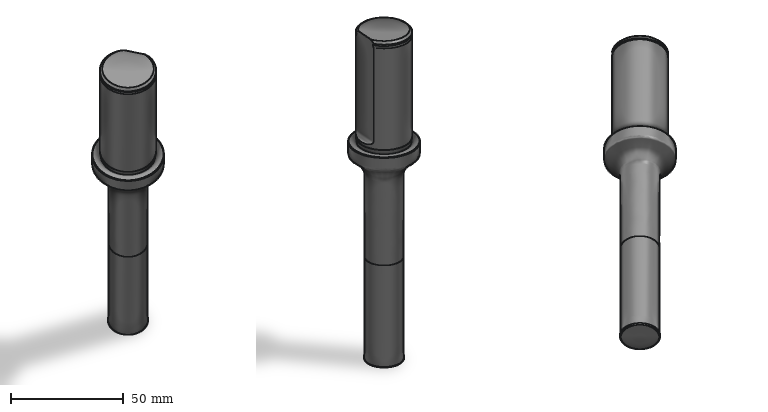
import cadquery as cq
import math

TOTAL_LENGTH = 165.0
TIP_RIM_Z = 1.0
TIP_FLARE_Z = 5.6
BODY_JOINT_Z = 51.5
NECK_TAPER_Z = 88.5
NECK_TOP_Z = 93.4
COLLAR_BOTTOM_Z = 103.8
COLLAR_TOP_Z = 109.2
SHANK_BOTTOM_Z = 111.2

TIP_DIAMETER = 18.0
STEM_DIAMETER = 17.3
NECK_DIAMETER = 17.7
COLLAR_DIAMETER = 32.0
SHANK_DIAMETER = 25.0
GROOVE_DIAMETER = 24.5

TIP_FLAT_RADIUS = 3.3
TIP_FACE_CONE_RISE = 0.3
TIP_RIM_CHAMFER_WIDTH = 0.5
COLLAR_CHAMFER = 0.3
UNDERCUT_DIAMETER = 26.5
UNDERCUT_DEPTH = 0.3
TOP_CHAMFER_WIDTH = 1.2
TOP_CHAMFER_HEIGHT = 1.2
GROOVE_HALF_WIDTH = 1.0

TRANSITION_POINTS = [(9.7, 96.4), (11.9, 99.3), (15.2, 102.1)]

FLAT_Y = 10.4
FLAT_BOTTOM_Z = 112.5
FLAT_RUNOUT_RADIUS = 2.5

tip_radius = TIP_DIAMETER / 2
stem_radius = STEM_DIAMETER / 2
neck_radius = NECK_DIAMETER / 2
collar_radius = COLLAR_DIAMETER / 2
shank_radius = SHANK_DIAMETER / 2
groove_radius = GROOVE_DIAMETER / 2
undercut_radius = UNDERCUT_DIAMETER / 2


def make_tip():
    """Straight lower stem that flares to a rim and ends in a very shallow cone with a flat middle."""
    flare_height = TIP_FLARE_Z - TIP_RIM_Z
    flare_width = tip_radius - stem_radius
    flare_radius = (flare_height**2 + flare_width**2) / (2 * flare_width)
    half_angle = math.asin(flare_height / flare_radius) / 2
    flare_middle = (
        stem_radius + flare_radius * (1 - math.cos(half_angle)),
        TIP_FLARE_Z - flare_radius * math.sin(half_angle),
    )
    return (
        cq.Workplane("XZ")
        .moveTo(0, 0)
        .lineTo(TIP_FLAT_RADIUS, 0)
        .lineTo(tip_radius - TIP_RIM_CHAMFER_WIDTH, TIP_FACE_CONE_RISE)
        .lineTo(tip_radius, TIP_RIM_Z)
        .threePointArc(flare_middle, (stem_radius, TIP_FLARE_Z))
        .lineTo(stem_radius, BODY_JOINT_Z)
        .lineTo(0, BODY_JOINT_Z)
        .close()
        .revolve(360, (0, 0, 0), (0, 1, 0))
    )


def make_holder_blank():
    """Turned neck, collar and shank, before the flat is cut."""
    top_edge_z = TOTAL_LENGTH - TOP_CHAMFER_HEIGHT
    step = shank_radius - groove_radius
    return (
        cq.Workplane("XZ")
        .moveTo(0, BODY_JOINT_Z)
        .lineTo(stem_radius, BODY_JOINT_Z)
        .lineTo(neck_radius, NECK_TAPER_Z)
        .lineTo(neck_radius, NECK_TOP_Z)
        .spline(
            [*TRANSITION_POINTS, (collar_radius, COLLAR_BOTTOM_Z)],
            tangents=[(0, 1), (0, 1)],
            includeCurrent=True,
        )
        .lineTo(collar_radius, COLLAR_TOP_Z - COLLAR_CHAMFER)
        .lineTo(collar_radius - COLLAR_CHAMFER, COLLAR_TOP_Z)
        .lineTo(undercut_radius, COLLAR_TOP_Z)
        .lineTo(groove_radius, COLLAR_TOP_Z - UNDERCUT_DEPTH)
        .lineTo(groove_radius, SHANK_BOTTOM_Z - step)
        .lineTo(shank_radius, SHANK_BOTTOM_Z)
        .lineTo(shank_radius, top_edge_z - 2 * GROOVE_HALF_WIDTH)
        .lineTo(groove_radius, top_edge_z - GROOVE_HALF_WIDTH)
        .lineTo(shank_radius, top_edge_z)
        .lineTo(shank_radius - TOP_CHAMFER_WIDTH, TOTAL_LENGTH)
        .lineTo(0, TOTAL_LENGTH)
        .close()
        .revolve(360, (0, 0, 0), (0, 1, 0))
    )


def make_flat_cutter():
    """Material removed for the flat, with a rounded runout at its lower end."""
    height = TOTAL_LENGTH - FLAT_BOTTOM_Z
    depth = collar_radius - FLAT_Y
    return (
        cq.Workplane("XY")
        .box(COLLAR_DIAMETER, depth, height, centered=(True, False, False))
        .edges("|X and <Y and <Z")
        .fillet(FLAT_RUNOUT_RADIUS)
        .translate((0, FLAT_Y, FLAT_BOTTOM_Z))
    )


tip = make_tip()
holder = make_holder_blank().cut(make_flat_cutter())

result = cq.Compound.makeCompound([tip.val(), holder.val()])